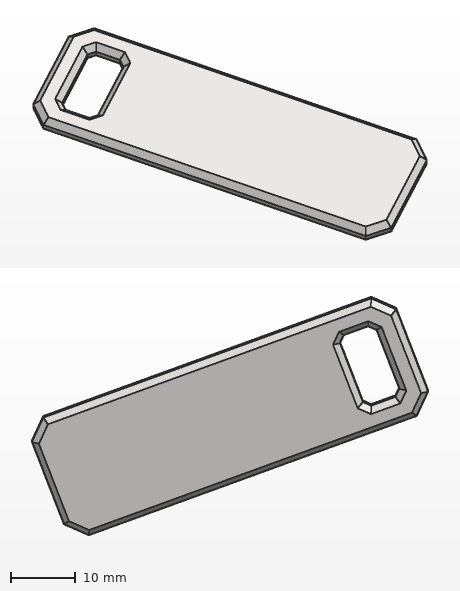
import cadquery as cq

plate_length = 60.0
plate_width = plate_length / 3
plate_thickness = 3.0
corner_cut = 3.0

bevel = plate_thickness / 3

slot_length = 6.0
slot_width = 12.0
slot_corner_cut = bevel
slot_margin = 3.0
slot_center_x = -plate_length / 2 + slot_margin + bevel + slot_length / 2


def clipped_block(length, width, corner):
    """Upright block on Z = 0 with its four vertical corners cut at 45 degrees."""
    return (
        cq.Workplane("XY")
        .rect(length, width)
        .extrude(plate_thickness)
        .edges("|Z")
        .chamfer(corner)
    )


plate = clipped_block(plate_length, plate_width, corner_cut)
slot = clipped_block(slot_length, slot_width, slot_corner_cut).translate((slot_center_x, 0, 0))

result = plate.cut(slot).faces("|Z").edges().chamfer(bevel)